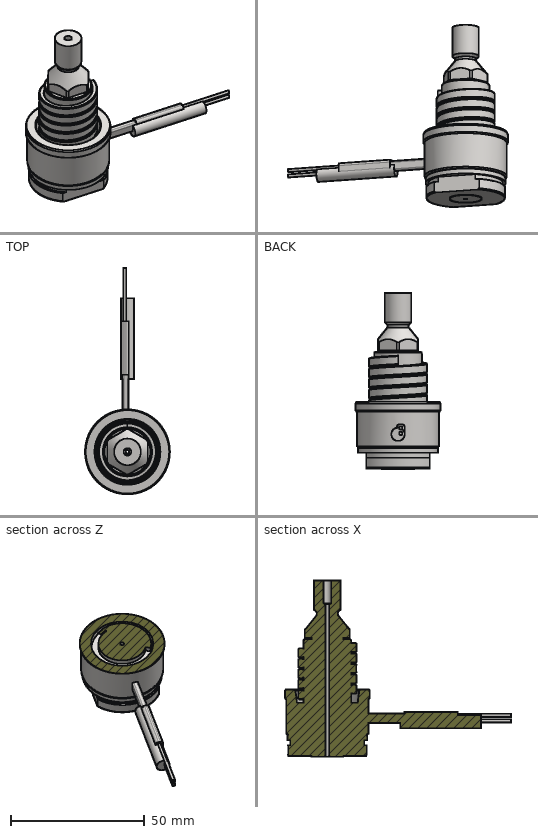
import cadquery as cq
import math


pad_radius = 6.0
pad_height = 0.25
base_radius = 14.9
base_chamfer_width = 0.21
base_chamfer_height = 0.5
base_top = 4.4
neck_radius = 14.0
neck_top = 6.2
flat_distance = 12.0

flange_radius = 15.05
flange_top = 8.0
groove_radius = 14.8
groove_top = 8.25
body_radius = 15.5
body_bottom = 8.75
rim_radius = 16.0
rim_bottom = 22.1
rim_under_chamfer = rim_radius - body_radius
rim_top = 25.3
rim_chamfer_width = 0.3
rim_chamfer_height = 0.7

recess_radius = 12.0
recess_floor_radius = 11.4
recess_floor = 20.4
recess_chamfer = 0.4

core_radius = 9.0
core_top = 44.2
core_chamfer = 0.4

coil_outer_radius = 11.0
coil_overlap = 0.1
coil_wire_height = 3.5
coil_corner = 0.3
coil_pitch = 3.9
coil_start_angle = 152.0
coil_end_angle = 90.0
coil_full_turns = 4

washer_radius = 6.0
hex_bottom = 44.6
hex_across_flats = 15.1
hex_corner_radius = 8.5
cone_bottom = 47.8
cone_top = 53.2
waist_radius = 4.1
waist_bend = 53.7
waist_bend_radius = 4.0
waist_top = 54.2

tip_radius = 5.0
tip_bottom = waist_top + (tip_radius - waist_bend_radius)
total_height = 66.2

bore_radius = 0.64
counterbore_radius = 1.4
counterbore_depth = 8.5
drill_tip_angle = 118.0

cable_x = -0.8
cable_z = 14.5
cable_width = 2.4
cable_height = 3.7
cable_round = 0.6
cable_root_y = 13.6

sleeve_x = -0.98
sleeve_width = 3.0
sleeve_height = 4.85
sleeve_round = 1.1
sleeve_start_y = 28.9
sleeve_end_y = 49.0

tube_diameter = 5.0
tube_z = 13.2
tube_start_y = 27.3
tube_end_y = 57.7

wire_x = -1.0
wire_diameter = 1.3
wire_spacing = 2.0
total_length = 85.0
wire_end_y = total_length - rim_radius


def cylinder(radius, bottom, top):
    return cq.Workplane("XY").workplane(offset=bottom).circle(radius).extrude(top - bottom)


def along_y(x, z, start_y):
    """Sketch plane at start_y whose extrusions run toward +Y, with local y along Z."""
    return cq.Workplane(cq.Plane(origin=(x, start_y, z), xDir=(-1, 0, 0), normal=(0, 1, 0)))


def make_base():
    profile = [
        (0, 0),
        (pad_radius, 0),
        (pad_radius, pad_height),
        (base_radius - base_chamfer_width, pad_height),
        (base_radius, pad_height + base_chamfer_height),
        (base_radius, base_top),
        (neck_radius, base_top),
        (neck_radius, neck_top),
        (0, neck_top),
    ]
    turned = cq.Workplane("XZ").polyline(profile).close().revolve(360, (0, 0), (0, 1))
    between_flats = (
        cq.Workplane("XY").rect(2 * flat_distance, 3 * base_radius).extrude(neck_top)
    )
    return turned.intersect(between_flats)


def make_body():
    profile = [
        (0, neck_top),
        (flange_radius, neck_top),
        (flange_radius, flange_top),
        (groove_radius, groove_top),
        (body_radius, body_bottom),
        (body_radius, rim_bottom - rim_under_chamfer),
        (rim_radius, rim_bottom),
        (rim_radius, rim_top - rim_chamfer_height),
        (rim_radius - rim_chamfer_width, rim_top),
        (recess_radius + recess_chamfer, rim_top),
        (recess_radius, rim_top - recess_chamfer),
        (recess_floor_radius, recess_floor),
        (0, recess_floor),
    ]
    return cq.Workplane("XZ").polyline(profile).close().revolve(360, (0, 0), (0, 1))


def make_core():
    core = cylinder(core_radius, recess_floor, core_top).faces(">Z").chamfer(core_chamfer)
    washer = cylinder(washer_radius, core_top, hex_bottom)
    return core.union(washer)


def make_coil():
    inner_radius = core_radius - coil_overlap
    turns = coil_full_turns + (coil_end_angle - coil_start_angle) % 360 / 360
    helix = cq.Wire.makeHelix(coil_pitch, turns * coil_pitch, coil_outer_radius)
    wire_profile = [
        (inner_radius, coil_corner),
        (inner_radius + coil_corner, 0),
        (coil_outer_radius - coil_corner, 0),
        (coil_outer_radius, coil_corner),
        (coil_outer_radius, coil_wire_height - coil_corner),
        (coil_outer_radius - coil_corner, coil_wire_height),
        (inner_radius + coil_corner, coil_wire_height),
        (inner_radius, coil_wire_height - coil_corner),
    ]
    coil = cq.Workplane("XZ").polyline(wire_profile).close().sweep(helix, isFrenet=True)
    return coil.rotate((0, 0, 0), (0, 0, 1), coil_start_angle).translate((0, 0, recess_floor))


def make_nut():
    corner_diameter = hex_across_flats / math.cos(math.pi / 6)
    hexagon = (
        cq.Workplane("XY")
        .workplane(offset=hex_bottom)
        .polygon(6, corner_diameter)
        .extrude(cone_top - hex_bottom)
        .rotate((0, 0, 0), (0, 0, 1), 30)
    )
    cone_profile = [
        (0, hex_bottom),
        (hex_corner_radius, hex_bottom),
        (hex_corner_radius, cone_bottom),
        (waist_radius, cone_top),
        (0, cone_top),
    ]
    cone = cq.Workplane("XZ").polyline(cone_profile).close().revolve(360, (0, 0), (0, 1))
    return hexagon.intersect(cone)


def make_tip():
    profile = [
        (0, cone_top),
        (waist_radius, cone_top),
        (waist_bend_radius, waist_bend),
        (waist_bend_radius, waist_top),
        (tip_radius, tip_bottom),
        (tip_radius, total_height),
        (0, total_height),
    ]
    return cq.Workplane("XZ").polyline(profile).close().revolve(360, (0, 0), (0, 1))


def make_bore():
    step_slope = math.tan(math.radians(drill_tip_angle / 2))
    step_top = total_height - counterbore_depth
    step_bottom = step_top - (counterbore_radius - bore_radius) / step_slope
    profile = [
        (0, 0),
        (bore_radius, 0),
        (bore_radius, step_bottom),
        (counterbore_radius, step_top),
        (counterbore_radius, total_height),
        (0, total_height),
    ]
    return cq.Workplane("XZ").polyline(profile).close().revolve(360, (0, 0), (0, 1))


def make_rounded_bar(x, width, height, corner, start_y, end_y):
    bar = along_y(x, cable_z, start_y).rect(width, height).extrude(end_y - start_y)
    return bar.edges("|Y").fillet(corner)


def make_cable():
    cable = make_rounded_bar(
        cable_x, cable_width, cable_height, cable_round, cable_root_y, sleeve_end_y
    )
    sleeve = make_rounded_bar(
        sleeve_x, sleeve_width, sleeve_height, sleeve_round, sleeve_start_y, sleeve_end_y
    )
    tube = (
        along_y(0, tube_z, tube_start_y)
        .circle(tube_diameter / 2)
        .extrude(tube_end_y - tube_start_y)
    )
    assembly = cable.union(sleeve).union(tube)
    for side in (-1, 1):
        wire_z = cable_z + side * wire_spacing / 2
        wire = (
            along_y(wire_x, wire_z, sleeve_start_y)
            .circle(wire_diameter / 2)
            .extrude(wire_end_y - sleeve_start_y)
        )
        assembly = assembly.union(wire)
    return assembly


result = (
    make_base()
    .union(make_body())
    .union(make_core())
    .union(make_coil())
    .union(make_nut())
    .union(make_tip())
    .cut(make_bore())
    .union(make_cable())
)